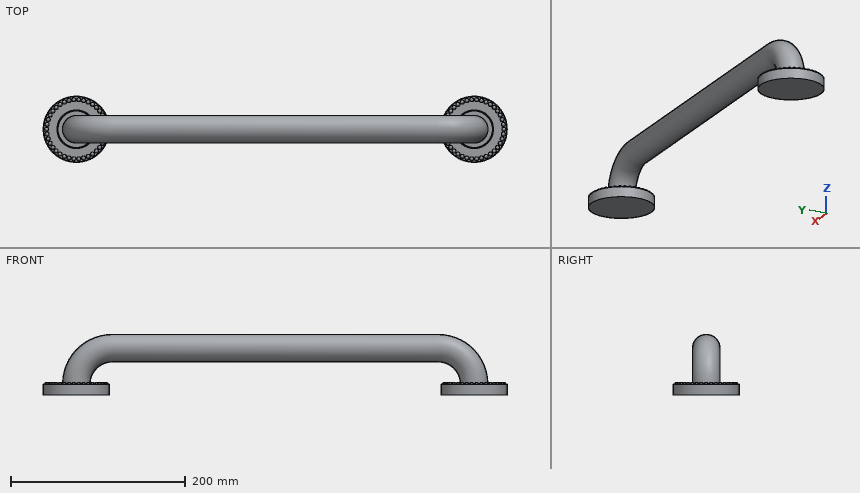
import cadquery as cq

post_spacing = 457.2
post_x = post_spacing / 2
overall_height = 69.85

tube_diameter = 31.75
tube_radius = tube_diameter / 2
bend_radius = 41.275
bar_axis_height = overall_height - tube_radius

flange_diameter = 76.2
flange_radius = flange_diameter / 2
face_height = 12.7
edge_chamfer = 0.6

bead_count = 38
bead_circle_radius = 34.1
bead_radius = 2.38
bead_height = 2.0
bead_pole = (-1, 0, 0)

collar_base_radius = 22.2
collar_top_radius = 21.0
collar_height = 0.8


def make_flange_disc():
    """Round flange with a chamfered edge and a low collar round the tube."""
    collar_top = face_height + collar_height
    profile = (
        cq.Workplane("XZ")
        .lineTo(flange_radius, 0)
        .lineTo(flange_radius, face_height - edge_chamfer)
        .lineTo(flange_radius - edge_chamfer, face_height)
        .lineTo(collar_base_radius, face_height)
        .lineTo(collar_top_radius, collar_top)
        .lineTo(0, collar_top)
        .close()
    )
    return profile.revolve(360, (0, 0), (0, 1))


def make_beads():
    """Ring of balls whose tops stand above the flange face."""
    return (
        cq.Workplane("XY", origin=(0, 0, face_height + bead_height - bead_radius))
        .polarArray(bead_circle_radius, 0, 360, bead_count)
        .sphere(bead_radius, direct=bead_pole)
    )


def make_tube():
    """Round bar swept along a straight run with a quarter bend down to each flange."""
    bend_x = post_x - bend_radius
    bend_base = bar_axis_height - bend_radius
    path = (
        cq.Workplane("XZ")
        .moveTo(-post_x, 0)
        .lineTo(-post_x, bend_base)
        .tangentArcPoint((-bend_x, bar_axis_height), relative=False)
        .lineTo(bend_x, bar_axis_height)
        .tangentArcPoint((post_x, bend_base), relative=False)
        .lineTo(post_x, 0)
    )
    return cq.Workplane("XY").center(-post_x, 0).circle(tube_radius).sweep(path)


flange = make_flange_disc().union(make_beads())
result = make_tube()
for side in (-1, 1):
    result = result.union(flange.translate((side * post_x, 0, 0)))